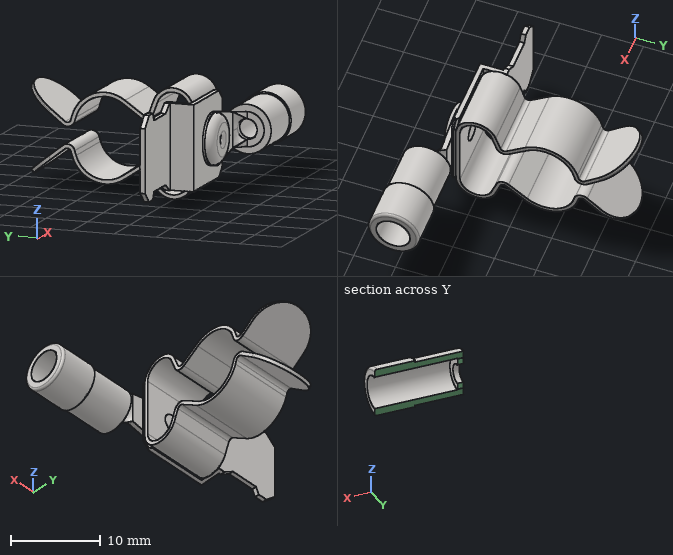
import cadquery as cq
import math


bracket_thickness = 0.62
bracket_half_height = 5.0
bracket_right = 3.98
bracket_corner_cut = 0.87
bracket_edge_bevel = 0.28
step_left = -5.6
flange_back = 3.42
flange_left = -13.8
flange_end_half_height = 3.73
flange_notch_half_height = 4.1
flange_tooth_left = -12.45
flange_tooth_right = -11.25
flange_notch_left = -10.8
flange_notch_right = -7.15
flange_shoulder = -5.85

clip_thickness = 0.5
clip_width = 8.0
clip_half_height = 6.4
small_lobe_radius = 2.2
large_lobe_radius = 3.88
large_lobe_center = (11.18, 1.15)
valley_radius = 0.68
inner_valley_center = (6.37, 3.4)
outer_valley_center = (15.72, 1.93)
tip_center = (21.0, 5.2)

head_radius = 3.0
head_round = 1.05
head_back = -0.37
dimple_radius = 1.0
shank_radius = 1.25

tongue_thickness = 0.68
ring_radius = 3.05
ring_center_x = 0.3
neck_half_height = 2.08
neck_start = 5.28
barrel_start = 6.3
barrel_radius = 2.02
barrel_bore_radius = 1.18
barrel_length = 0.78

sleeve_radius = 2.85
collar_radius = 3.05
collar_start = 12.27
sleeve_end = 17.27
collar_round = 0.3

lug_z = -0.05

barrel_axis_y = -barrel_radius
clip_base_y = bracket_thickness + clip_thickness / 2
shank_end = bracket_thickness + clip_thickness


def drill_for_rivet(body):
    hole = cq.Workplane("XZ", origin=(0, shank_end, 0)).circle(shank_radius).extrude(2 * shank_end)
    return body.cut(hole)


def make_bracket():
    plate = (
        cq.Workplane("XY")
        .box(bracket_right - step_left, bracket_thickness, 2 * bracket_half_height, centered=(False, False, True))
        .translate((step_left, 0, 0))
        .edges(">X and |Y").chamfer(bracket_corner_cut)
    )
    free_end = cq.selectors.BoxSelector(
        (bracket_right - bracket_corner_cut - 0.03, -0.3, -bracket_half_height - 0.3),
        (bracket_right + 0.3, bracket_thickness + 0.3, bracket_half_height + 0.3),
    )
    plate = plate.edges("#Y").edges(free_end).chamfer(bracket_edge_bevel)

    wall = (
        cq.Workplane("XY")
        .box(bracket_thickness, flange_back, 2 * bracket_half_height, centered=(False, False, True))
        .translate((step_left, 0, 0))
    )
    upper_edge = [
        (flange_left, flange_end_half_height),
        (flange_tooth_left, bracket_half_height),
        (flange_tooth_right, bracket_half_height),
        (flange_notch_left, flange_notch_half_height),
        (flange_notch_right, flange_notch_half_height),
        (flange_shoulder, bracket_half_height),
        (step_left, bracket_half_height),
    ]
    lower_edge = [(x, -z) for x, z in reversed(upper_edge)]
    flange = (
        cq.Workplane("XZ", origin=(0, flange_back, 0))
        .polyline(upper_edge + lower_edge).close()
        .extrude(bracket_thickness)
    )
    return drill_for_rivet(plate.union(wall).union(flange))


def strip_headings(stations):
    """Heading of the straight run between each two successive bends (center, radius, turn)."""
    headings = []
    for (start, start_radius, start_turn), (end, end_radius, end_turn) in zip(stations, stations[1:]):
        dy = end[0] - start[0]
        dz = end[1] - start[1]
        side_shift = end_turn * end_radius - start_turn * start_radius
        run = math.sqrt(dy**2 + dz**2 - side_shift**2)
        headings.append(math.atan2(dz, dy) - math.atan2(side_shift, run))
    return headings


def bend_point(bend, heading, offset):
    """Point on a bend where the strip has this heading, offset to the left of its middle line."""
    (y, z), radius, turn = bend
    reach = offset - turn * radius
    return (y - reach * math.sin(heading), z + reach * math.cos(heading))


def make_clip():
    left = 1
    right = -1
    small_lobe_center = (
        clip_base_y + small_lobe_radius,
        clip_half_height - clip_thickness / 2 - small_lobe_radius,
    )
    bends = [
        (small_lobe_center, small_lobe_radius, right),
        (inner_valley_center, valley_radius, left),
        (large_lobe_center, large_lobe_radius, right),
        (outer_valley_center, valley_radius, left),
    ]
    base_middle = ((clip_base_y, 0), 0, left)
    tip = (tip_center, 0, left)
    headings = strip_headings([base_middle] + bends + [tip])
    tip_heading = headings[-1]

    half = clip_thickness / 2
    strip = cq.Workplane("YZ", origin=(-clip_width / 2, 0, 0)).moveTo(clip_base_y - half, 0)
    for bend, heading_in, heading_out in zip(bends, headings, headings[1:]):
        strip = strip.lineTo(*bend_point(bend, heading_in, half)).threePointArc(
            bend_point(bend, (heading_in + heading_out) / 2, half), bend_point(bend, heading_out, half)
        )
    strip = strip.lineTo(*bend_point(tip, tip_heading, half)).lineTo(*bend_point(tip, tip_heading, -half))
    for bend, heading_in, heading_out in reversed(list(zip(bends, headings, headings[1:]))):
        strip = strip.lineTo(*bend_point(bend, heading_out, -half)).threePointArc(
            bend_point(bend, (heading_in + heading_out) / 2, -half), bend_point(bend, heading_in, -half)
        )
    strip = strip.lineTo(clip_base_y + half, 0).close().extrude(clip_width)

    tip_plane = cq.Plane(
        origin=(0, *tip_center),
        xDir=(1, 0, 0),
        normal=(0, -math.sin(tip_heading), math.cos(tip_heading)),
    )
    tab_radius = clip_width / 2
    corners = (
        cq.Workplane(tip_plane)
        .rect(clip_width, 2 * tab_radius)
        .extrude(clip_thickness, both=True)
        .cut(cq.Workplane(tip_plane).center(0, -tab_radius).circle(tab_radius).extrude(clip_thickness, both=True))
    )
    upper = strip.cut(corners)
    return drill_for_rivet(upper.union(upper.mirror("XY")))


def make_rivet():
    head_front = head_back - head_round
    dimple_reach = dimple_radius * math.sqrt(0.5)
    arc_reach = head_round * math.sqrt(0.5)
    dimple_middle = (dimple_radius - dimple_reach, head_front + dimple_radius - dimple_reach)
    profile = (
        cq.Workplane("XY")
        .moveTo(0, head_front + dimple_radius)
        .threePointArc(dimple_middle, (dimple_radius, head_front))
        .lineTo(head_radius - head_round, head_front)
        .threePointArc((head_radius - head_round + arc_reach, head_back - arc_reach), (head_radius, head_back))
        .lineTo(shank_radius, head_back)
        .lineTo(shank_radius, shank_end)
        .lineTo(0, shank_end)
        .close()
    )
    return profile.revolve(360, (0, 0, 0), (0, 1, 0))


def make_lug(rivet):
    neck_length = neck_start - ring_center_x
    tangent_angle = math.atan2(neck_half_height, neck_length) + math.acos(
        ring_radius / math.hypot(neck_length, neck_half_height)
    )
    tangent_x = ring_center_x + ring_radius * math.cos(tangent_angle)
    tangent_z = ring_radius * math.sin(tangent_angle)
    tongue = (
        cq.Workplane("XZ", origin=(0, 0, lug_z))
        .moveTo(neck_start, -neck_half_height)
        .lineTo(neck_start, neck_half_height)
        .lineTo(tangent_x, tangent_z)
        .threePointArc((ring_center_x - ring_radius, 0), (tangent_x, -tangent_z))
        .close()
        .extrude(tongue_thickness)
    )

    outer_reach = barrel_radius * math.sqrt(0.5)
    bore_reach = barrel_bore_radius * math.sqrt(0.5)
    half_neck = (
        cq.Workplane("YZ", origin=(neck_start, 0, lug_z))
        .lineTo(0, neck_half_height)
        .lineTo(-tongue_thickness, neck_half_height)
        .lineTo(-tongue_thickness, 0)
        .close()
        .workplane(offset=barrel_start - neck_start)
        .moveTo(0, 0)
        .threePointArc((barrel_axis_y + outer_reach, outer_reach), (barrel_axis_y, barrel_radius))
        .lineTo(barrel_axis_y, barrel_bore_radius)
        .threePointArc((barrel_axis_y + bore_reach, bore_reach), (barrel_axis_y + barrel_bore_radius, 0))
        .close()
        .loft(ruled=True)
    )
    neck = half_neck.union(half_neck.mirror("XY", (0, 0, lug_z)))

    barrel = (
        cq.Workplane("YZ", origin=(barrel_start, barrel_axis_y, lug_z))
        .circle(barrel_radius)
        .circle(barrel_bore_radius)
        .extrude(barrel_length)
    )
    seated = tongue.union(neck).union(barrel).cut(rivet)
    return cq.Workplane(max(seated.solids().vals(), key=lambda solid: solid.Volume()))


def make_sleeve():
    axis_start = (barrel_start, barrel_axis_y, lug_z)
    body = cq.Workplane("YZ", origin=axis_start).circle(sleeve_radius).extrude(collar_start - barrel_start)
    collar = (
        cq.Workplane("YZ", origin=(collar_start, barrel_axis_y, lug_z))
        .circle(collar_radius)
        .extrude(sleeve_end - collar_start)
        .faces(">X").edges().fillet(collar_round)
    )
    bore = cq.Workplane("YZ", origin=axis_start).circle(barrel_radius).extrude(sleeve_end - barrel_start)
    return body.union(collar).cut(bore)


bracket = make_bracket()
clip = make_clip()
rivet = make_rivet()
lug = make_lug(rivet)
sleeve = make_sleeve()

result = cq.Compound.makeCompound([bracket.val(), clip.val(), rivet.val(), lug.val(), sleeve.val()])